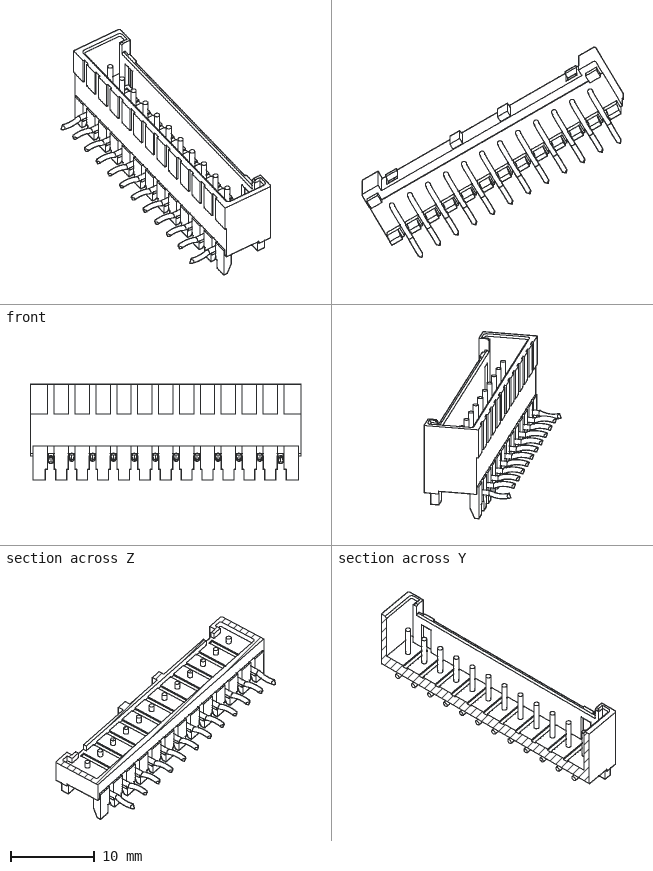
import cadquery as cq
import math


length = 32.4
body_depth = 6.67
body_height = 8.3
rear_height = 8.62
rear_strip = 1.78
front_relief = 0.2
corner_radius = 0.23

pin_count = 12
pin_span = 27.5
pitch = pin_span / (pin_count - 1)
pin_diameter = 0.6
pin_setback = 3.0
pin_top = -2.65
pin_exit_z = -8.9
pin_bend = 0.7
tail_root_y = -0.8
tail_bow = 0.32
tail_chord = 2.85
pin_reach = 3.47
tip_length = 0.3

end_wall = 0.85
front_wall = 0.97
rear_wall_inner = 1.23
rear_wall_outer = 0.78
rear_wall_top = -1.45
alcove_wall = 0.5
post_inner = 1.75
post_outer = 2.3
entry_chamfer = 0.23
cavity_fillet = 0.2
floor_z = -6.48
groove_width = 0.58
groove_depth = 0.2

slot_width = 0.78
rib_height = 3.6
foot_top = -7.42
foot_bottom = -11.5
foot_shoulder = -10.2
foot_thickness = 1.1
foot_tip_thickness = 0.52
foot_step = 0.2
end_foot_inset = 0.3
end_foot_tip_width = 1.5

peg_width = 1.5
peg_depth = 1.0
peg_inset = 0.3
peg_bottom = -10.15
window_width = 1.5
window_offset = 3.0
window_top = -2.8
bar_relief = 0.2
key_width = 1.35
key_offset = 3.3
key_relief = 0.7

half_length = length / 2
rear_y = body_depth
pin_y = rear_y - pin_setback
pin_xs = [(i - (pin_count - 1) / 2) * pitch for i in range(pin_count)]


def block(x0, x1, y0, y1, z0, z1):
    """Axis-aligned box between two corners."""
    return cq.Workplane("XY").box(x1 - x0, y1 - y0, z1 - z0, centered=False).translate((x0, y0, z0))


def both_ends(shape):
    """The shape together with its mirror image at the other end of the row."""
    return shape.union(shape.mirror("YZ"))


def side_profile(points, x0, x1):
    """Extrude a (Y, Z) outline from x0 to x1."""
    return cq.Workplane("YZ").polyline(points).close().extrude(x1 - x0).translate((x0, 0, 0))


def make_shell():
    """Solid body with the rear wall set in and lowered between the corner posts."""
    main = block(-half_length, half_length, front_relief, rear_y, -body_height, 0)
    strip = block(-half_length, half_length, rear_y - rear_strip, rear_y, -rear_height, 0)
    shell = main.union(strip).edges("|Z and >Y").fillet(corner_radius)
    notch_end = half_length - post_outer
    notch = block(-notch_end, notch_end, rear_y - rear_wall_outer, rear_y, -rear_height, 0)
    wall_cut = block(-notch_end, notch_end, rear_y - rear_wall_inner, rear_y, rear_wall_top, 0)
    return shell.cut(notch).cut(wall_cut)


def make_cavity():
    """Open well with an alcove in each rear corner, a chamfered rim and a grooved floor."""
    x_end = half_length - end_wall
    x_post = half_length - post_inner
    rear_y_inner = rear_y - rear_wall_inner
    y_alcove = rear_y - alcove_wall
    well = cq.Workplane("XY").polyline([
        (-x_end, front_wall), (x_end, front_wall), (x_end, y_alcove), (x_post, y_alcove),
        (x_post, rear_y_inner), (-x_post, rear_y_inner), (-x_post, y_alcove), (-x_end, y_alcove),
    ]).close().extrude(floor_z)
    well = well.edges("|Z and (<X or >X)").fillet(cavity_fillet)
    entry = well.faces(">Z").wires().toPending().offset2D(entry_chamfer, "intersection")
    entry = entry.extrude(-entry_chamfer, combine=False, taper=45)
    wall_x = half_length - post_outer
    wall_chamfer = side_profile(
        [(rear_y_inner, rear_wall_top), (rear_y_inner + entry_chamfer, rear_wall_top),
         (rear_y_inner, rear_wall_top - entry_chamfer)], -wall_x, wall_x)
    cavity = well.union(entry).union(wall_chamfer)
    for x in pin_xs[:-1]:
        centre = x + pitch / 2
        cavity = cavity.union(block(centre - groove_width / 2, centre + groove_width / 2, front_wall,
                                    rear_y_inner, floor_z - groove_depth, floor_z))
    return cavity


def gap_ends(end_x):
    """X ranges left between neighbouring pin slots, the outer ones stopping at +-end_x."""
    starts = [-end_x] + [x + slot_width / 2 for x in pin_xs]
    stops = [x - slot_width / 2 for x in pin_xs] + [end_x]
    return list(zip(starts, stops))


def make_ribs():
    """Raised ribs on the upper front wall, between the pins."""
    ribs = cq.Workplane("XY")
    for x0, x1 in gap_ends(half_length):
        ribs = ribs.union(block(x0, x1, 0, front_relief, -rib_height, 0))
    return ribs


def make_slots():
    """Clearance slots through the lower front wall, one over each pin."""
    slots = cq.Workplane("XY")
    for x in pin_xs:
        slots = slots.union(block(x - slot_width / 2, x + slot_width / 2, 0, foot_thickness,
                                  -body_height, foot_top))
    return slots


def make_feet():
    """Feet between the pin slots; the two end feet stay flush on their outer sides."""
    profile = [(0, foot_top), (front_relief, foot_top), (front_relief, -body_height),
               (foot_thickness, -body_height), (foot_thickness, foot_shoulder),
               (foot_tip_thickness, foot_bottom), (0, foot_bottom)]
    end_x = half_length - end_foot_inset
    feet = cq.Workplane("XY")
    for x0, x1 in gap_ends(end_x):
        tip0 = x0 + foot_step
        tip1 = x1 - foot_step
        if x0 == -end_x:
            tip0 = x0
            tip1 = x0 + end_foot_tip_width
        elif x1 == end_x:
            tip0 = x1 - end_foot_tip_width
            tip1 = x1
        upper = block(x0, x1, 0, foot_thickness, foot_shoulder, foot_top)
        lower = block(tip0, tip1, 0, foot_thickness, foot_bottom, foot_shoulder)
        feet = feet.union(side_profile(profile, x0, x1).intersect(upper.union(lower)))
    return feet


def make_pegs():
    """Locating pegs under the rear strip, one at each end."""
    x0 = -half_length + peg_inset
    y0 = rear_y - rear_strip
    return both_ends(block(x0, x0 + peg_width, y0, y0 + peg_depth, peg_bottom, -body_height))


def make_windows():
    x0 = -half_length + window_offset
    return both_ends(block(x0, x0 + window_width, rear_y - rear_wall_inner, rear_y, floor_z, window_top))


def make_bars():
    """Raised bars on the rear wall, above the windows."""
    x0 = -half_length + window_offset
    y0 = rear_y - rear_wall_outer
    return both_ends(block(x0, x0 + window_width, y0, y0 + bar_relief, window_top, rear_wall_top))


def make_keys():
    """Ramped keys standing on the rear wall."""
    y0 = rear_y - rear_wall_outer
    y1 = y0 + key_relief
    profile = [(y0, window_top), (y1, window_top - key_relief), (y1, -body_height), (y0, -body_height)]
    x0 = key_offset - key_width / 2
    return both_ends(side_profile(profile, x0, x0 + key_width))


def make_pin(bow):
    """One pin at X = 0: vertical leg, bend, horizontal leg and a tail bowed by the given height."""
    radius = pin_diameter / 2
    bend_turn = pin_bend * (1 - math.sqrt(0.5))
    leg_path = (
        cq.Workplane("YZ").moveTo(pin_y, pin_top).lineTo(pin_y, pin_exit_z + pin_bend)
        .threePointArc((pin_y - bend_turn, pin_exit_z + bend_turn), (pin_y - pin_bend, pin_exit_z))
        .lineTo(tail_root_y, pin_exit_z)
    )
    leg = cq.Workplane("XY", origin=(0, pin_y, pin_top)).circle(radius).sweep(leg_path)

    side = math.copysign(1, bow)
    half_chord = tail_chord / 2
    ring_radius = (half_chord ** 2 + bow ** 2) / (2 * abs(bow))
    ring_y = tail_root_y - half_chord
    ring_z = pin_exit_z + bow - side * ring_radius
    ring = cq.Workplane(cq.Solid.makeTorus(ring_radius, radius, cq.Vector(0, ring_y, ring_z),
                                           cq.Vector(1, 0, 0)))
    tip_angle = math.asin((pin_reach + ring_y) / (ring_radius + radius))
    tip_y = ring_y - ring_radius * math.sin(tip_angle)
    tip_z = ring_z + side * ring_radius * math.cos(tip_angle)
    wedge = cq.Workplane("XY").polyline([
        (0, 0), (radius, tip_length), (radius, tail_chord), (-radius, tail_chord), (-radius, tip_length),
    ]).close().extrude(ring_radius / 2, both=True)
    wedge = wedge.rotate((0, 0, 0), (1, 0, 0), side * math.degrees(tip_angle)).translate((0, tip_y, tip_z))
    root_trim = block(-radius, radius, -pin_reach, tail_root_y,
                      pin_exit_z - tail_chord, pin_exit_z + tail_chord)
    tail = ring.intersect(wedge).intersect(root_trim)
    return leg.union(tail)


def make_pins():
    """All pins; the two end tails bow down and the rest bow up."""
    up = make_pin(tail_bow)
    down = make_pin(-tail_bow)
    pins = cq.Workplane("XY")
    for x in pin_xs:
        pin = down if x in (pin_xs[0], pin_xs[-1]) else up
        pins = pins.union(pin.translate((x, 0, 0)))
    return pins


housing = make_shell().union(make_ribs()).cut(make_cavity())
housing = housing.union(make_feet()).union(make_pegs()).union(make_bars()).union(make_keys())
housing = housing.cut(make_windows()).cut(make_slots())
result = housing.union(make_pins())